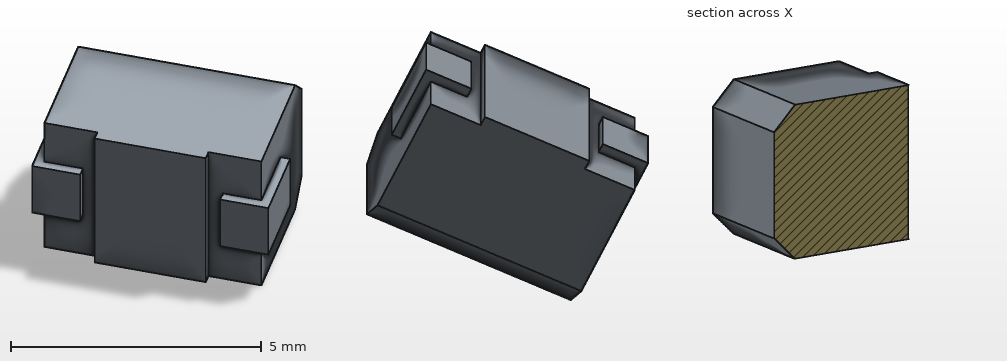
import cadquery as cq

overall_length = 4.9
overall_depth = 3.2
height = 3.2

terminal_thickness = 0.2
terminal_front_width = 1.0
terminal_side_depth = 1.605
terminal_height = 1.2

body_length = overall_length - 2 * terminal_thickness
body_depth = overall_depth - terminal_thickness
back_chamfer = 0.5
pad_width = 2.305

front_y = -overall_depth / 2
body_front_y = front_y + terminal_thickness


def block(length, depth, block_height, y_min, x_center=0):
    """Box centred in Z, growing toward +Y from y_min."""
    return (
        cq.Workplane("XY")
        .box(length, depth, block_height, centered=(True, False, True))
        .translate((x_center, y_min, 0))
    )


def make_body():
    """Block with its top and bottom back edges chamfered."""
    body = block(body_length, body_depth, height, body_front_y)
    return body.faces(">Y").edges("|X").chamfer(back_chamfer)


def make_pad():
    """Full-height raised pad, flush with the terminal faces."""
    return block(pad_width, terminal_thickness, height, front_y)


def make_terminal(side):
    """L-shaped terminal; side is -1 for the -X end and +1 for the +X end."""
    front_x = side * (overall_length - terminal_front_width) / 2
    end_x = side * (overall_length - terminal_thickness) / 2
    front_leg = block(terminal_front_width, terminal_thickness, terminal_height, front_y, front_x)
    end_leg = block(terminal_thickness, terminal_side_depth, terminal_height, front_y, end_x)
    return front_leg.union(end_leg)


result = make_body().union(make_pad())
for side in (-1, 1):
    result = result.union(make_terminal(side))